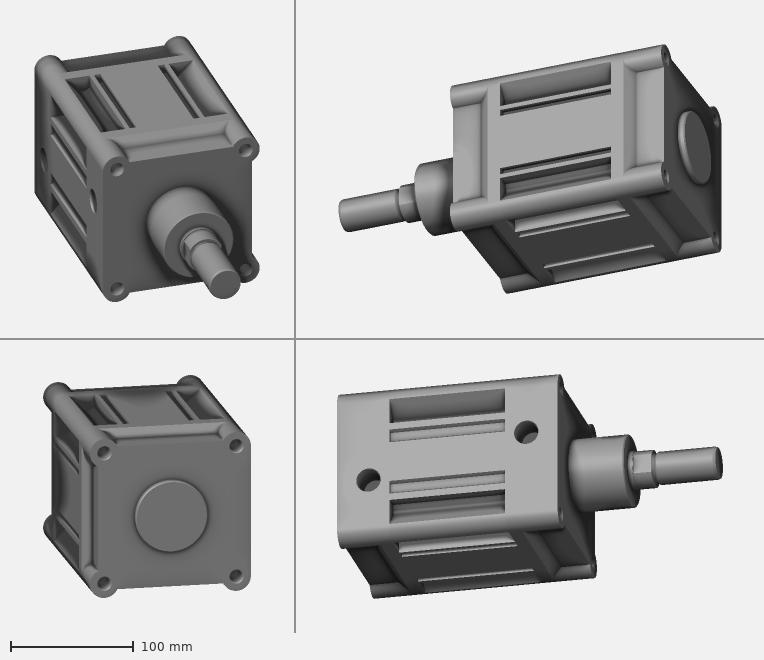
import cadquery as cq
import math


rear_boss_length = 6.0
cap_length = 44.0
barrel_length = 97.0
front_boss_length = 46.2
overall_length = 310.0
barrel_start = rear_boss_length + cap_length
barrel_end = barrel_start + barrel_length
front_face = barrel_end + cap_length
rod_start = front_face + front_boss_length

side = 134.0
half_side = side / 2
corner_radius = 12.0
bolt_offset = half_side - corner_radius

boss_radius = 30.0
boss_chamfer = 1.0
bolt_hole_radius = 5.1
bolt_chamfer = 1.0
bolt_hole_depth = 24.8
recess_depth = 6.8
recess_floor_length = 24.2
recess_slope_length = 8.7
port_radius = 9.5
port_chamfer_width = 0.5
port_chamfer_depth = 1.5
port_depth = 24.8
port_height = 14.5
port_to_barrel = 17.7

panel_half_width = 33.8
panel_wall_depth = 11.2
pocket_slope_angle = 30.0
pocket_fillet = 4.0
t_slot_inner = 24.5
t_slot_width = 5.5
t_slot_lip = 2.2
t_slot_undercut = 2.0
t_slot_depth = 8.0
sensor_groove_inner = 17.0
sensor_groove_width = 11.2
sensor_groove_depth = 3.0
sensor_wall_run = 2.0

collar_radius = 16.5
collar_length = 3.7
rod_radius = 15.65
rod_length = 15.8
rod_chamfer = 0.45
flat_half_width = 13.52
flat_setback = 1.0
thread_radius = 13.5
neck_radius = 12.0
neck_shoulder_radius = 13.0
neck_half_length = 2.0
tip_chamfer_length = 2.2
tip_radius = 12.85

side_angles = [0, 90, 180, 270]
port_side = 90
x_axis = (1, 0, 0)


def turned(shape, angle):
    """Turn a shape about the cylinder axis."""
    return shape.rotate((0, 0, 0), x_axis, angle)


def rounded_square(start, length):
    return (
        cq.Workplane("YZ", origin=(start, 0, 0))
        .rect(side, side)
        .extrude(length)
        .edges("|X")
        .fillet(corner_radius)
    )


def bolt_circles(start, radius, length):
    """One cylinder on each of the four bolt axes."""
    return (
        cq.Workplane("YZ", origin=(start, 0, 0))
        .rect(2 * bolt_offset, 2 * bolt_offset, forConstruction=True)
        .vertices()
        .circle(radius)
        .extrude(length)
    )


def cap_recess():
    """Cutter for the +Z side of the rear cap: sloped at its end, and curved round the two corner bosses."""
    floor = half_side - recess_depth
    floor_end = rear_boss_length + recess_floor_length
    sloped_prism = (
        cq.Workplane("XZ", origin=(0, half_side, 0))
        .moveTo(rear_boss_length, floor)
        .lineTo(floor_end, floor)
        .lineTo(floor_end + recess_slope_length, half_side)
        .lineTo(rear_boss_length, half_side)
        .close()
        .extrude(side)
    )
    floor_half_width = bolt_offset - math.sqrt(corner_radius**2 - (floor - bolt_offset) ** 2)
    return (
        cq.Workplane("YZ", origin=(rear_boss_length, 0, 0))
        .moveTo(-floor_half_width, floor)
        .radiusArc((-bolt_offset, half_side), -corner_radius)
        .lineTo(bolt_offset, half_side)
        .radiusArc((floor_half_width, floor), -corner_radius)
        .close()
        .extrude(cap_length)
        .intersect(sloped_prism)
    )


def bolt_holes():
    """Chamfered blind holes in the outer face of the rear cap."""
    holes = bolt_circles(rear_boss_length, bolt_hole_radius, bolt_hole_depth)
    mouths = (
        cq.Workplane("YZ", origin=(rear_boss_length, 0, 0))
        .rect(2 * bolt_offset, 2 * bolt_offset, forConstruction=True)
        .vertices()
        .circle(bolt_hole_radius + bolt_chamfer)
        .extrude(bolt_chamfer, taper=45)
    )
    return holes.union(mouths)


def port(x, z):
    """Chamfered blind port entering from the -Y side."""
    mouth_radius = port_radius + port_chamfer_width
    return (
        cq.Workplane("XY")
        .lineTo(mouth_radius, 0)
        .lineTo(port_radius, port_chamfer_depth)
        .lineTo(port_radius, port_depth)
        .lineTo(0, port_depth)
        .close()
        .revolve(360, (0, 0, 0), (0, 1, 0))
        .translate((x, -half_side, z))
    )


def cap_block():
    """Rear cap without boss and port, recessed on every side but the port side."""
    block = rounded_square(rear_boss_length, cap_length)
    for angle in side_angles:
        if angle != port_side:
            block = block.cut(turned(cap_recess(), angle))
    return block.cut(bolt_holes())


def boss(start, length, outer_end):
    return (
        cq.Workplane("YZ", origin=(start, 0, 0))
        .circle(boss_radius)
        .extrude(length)
        .faces(outer_end)
        .chamfer(boss_chamfer)
    )


def make_rear_cap():
    cap = cap_block().union(boss(0, rear_boss_length, "<X"))
    return cap.cut(port(barrel_start - port_to_barrel, -port_height))


def make_front_cap():
    barrel_middle = (barrel_start + barrel_end) / 2
    cap = cap_block().mirror("YZ", (barrel_middle, 0, 0))
    cap = cap.union(boss(front_face, front_boss_length, ">X"))
    return cap.cut(port(barrel_end + port_to_barrel, port_height))


def along_barrel(points):
    """Extrude a closed (y, z) outline over the barrel length."""
    return cq.Workplane("YZ", origin=(barrel_start, 0, 0)).polyline(points).close().extrude(barrel_length)


def corner_pocket():
    """Pocket between the +Z panel and the +Y corner, with a filleted V-shaped bottom."""
    wall_bottom = half_side - panel_wall_depth
    slope = math.tan(math.radians(pocket_slope_angle))
    web_rise = half_side - bolt_offset
    bottom_y = (wall_bottom - web_rise + slope * panel_half_width) / (1 + slope)
    bottom_z = bottom_y + web_rise
    pocket = along_barrel(
        [
            (panel_half_width, half_side),
            (panel_half_width, wall_bottom),
            (bottom_y, bottom_z),
            (bottom_y + half_side - bottom_z, half_side),
        ]
    )
    return pocket.edges("|X").edges("<Z").fillet(pocket_fillet)


def t_slot():
    """Undercut slot in the +Z panel, on the +Y half."""
    outer = t_slot_inner + t_slot_width
    lip = half_side - t_slot_lip
    floor = half_side - t_slot_depth
    return along_barrel(
        [
            (t_slot_inner, half_side),
            (t_slot_inner, lip),
            (t_slot_inner - t_slot_undercut, lip),
            (t_slot_inner - t_slot_undercut, floor),
            (outer + t_slot_undercut, floor),
            (outer + t_slot_undercut, lip),
            (outer, lip),
            (outer, half_side),
        ]
    )


def sensor_groove():
    """Groove with sloping walls in a side panel, on the +Y half before it is turned to its side."""
    floor = half_side - sensor_groove_depth
    outer = sensor_groove_inner + sensor_groove_width
    return along_barrel(
        [
            (sensor_groove_inner, half_side),
            (sensor_groove_inner + sensor_wall_run, floor),
            (outer - sensor_wall_run, floor),
            (outer, half_side),
        ]
    )


def make_barrel():
    barrel = rounded_square(barrel_start, barrel_length)
    for angle in side_angles:
        groove = sensor_groove() if angle == port_side else t_slot()
        for cutter in (corner_pocket(), groove):
            barrel = barrel.cut(turned(cutter, angle))
            barrel = barrel.cut(turned(cutter.mirror("XZ"), angle))
    return barrel


def make_piston_rod():
    """Turned rod with collar, wrench flats, neck and plain threaded end."""
    collar_end = rod_start + collar_length
    rod_end = collar_end + rod_length
    neck_middle = rod_end + neck_half_length
    rod = (
        cq.Workplane("XY")
        .moveTo(rod_start, 0)
        .lineTo(rod_start, collar_radius)
        .lineTo(collar_end, collar_radius)
        .lineTo(collar_end, rod_radius)
        .lineTo(rod_end - rod_chamfer, rod_radius)
        .lineTo(rod_end, rod_radius - rod_chamfer)
        .lineTo(rod_end, neck_shoulder_radius)
        .lineTo(neck_middle, neck_radius)
        .lineTo(neck_middle + neck_half_length, thread_radius)
        .lineTo(overall_length - tip_chamfer_length, thread_radius)
        .lineTo(overall_length, tip_radius)
        .lineTo(overall_length, 0)
        .close()
        .revolve(360, (0, 0, 0), x_axis)
    )
    flat_start = collar_end + flat_setback
    flat_length = rod_end - flat_start
    for direction in (-1, 1):
        flat = cq.Workplane("XY").box(flat_length, rod_radius, 2 * rod_radius, centered=(False, True, True))
        rod = rod.cut(flat.translate((flat_start, direction * (flat_half_width + rod_radius / 2), 0)))
    return rod


rear_cap = make_rear_cap()
barrel = make_barrel()
front_cap = make_front_cap()
piston_rod = make_piston_rod()

result = cq.Compound.makeCompound([rear_cap.val(), barrel.val(), front_cap.val(), piston_rod.val()])